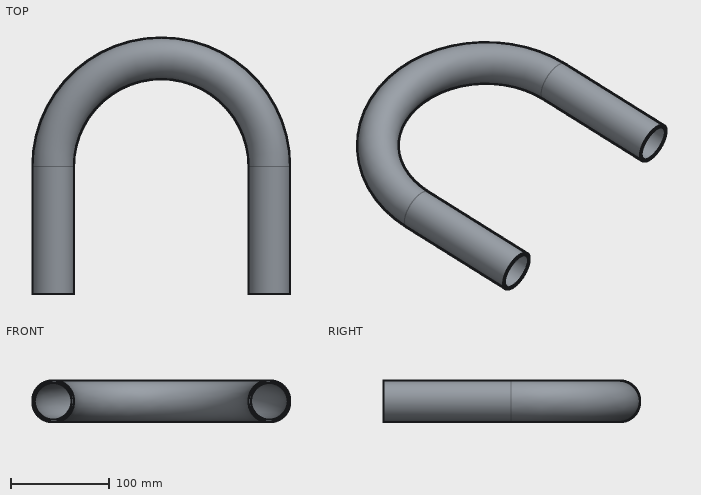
import cadquery as cq

overall_width = 262.5
overall_length = 261.0
outer_diameter = 42.5
inner_diameter = 37.5

bend_radius = (overall_width - outer_diameter) / 2
leg_length = overall_length - overall_width / 2


def ring_section():
    """Annular tube section at the joint between the left leg and the bend."""
    return (
        cq.Workplane("XZ")
        .center(-bend_radius, 0)
        .circle(outer_diameter / 2)
        .circle(inner_diameter / 2)
    )


bend = ring_section().revolve(180, (bend_radius, 0), (bend_radius, -1))

left_leg = ring_section().extrude(leg_length)
right_leg = left_leg.mirror("YZ")

result = bend.union(left_leg).union(right_leg)